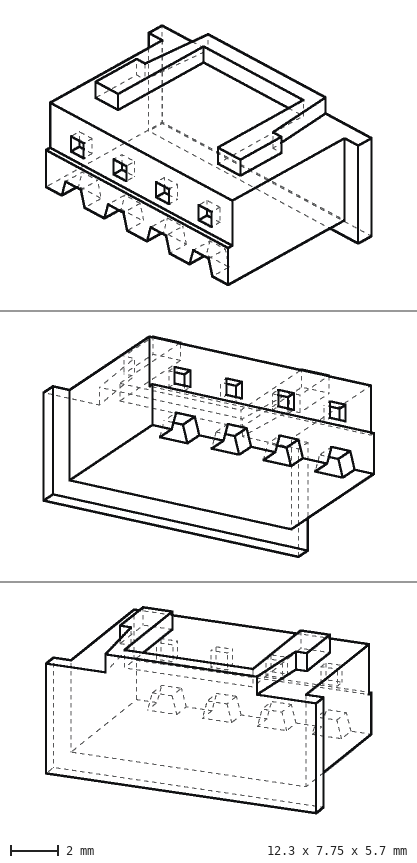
import cadquery as cq

flange_width = 12.3
flange_thickness = 0.8
flange_height = 4.9
total_depth = 7.75

flange_rim = 0.8
body_width = flange_width - 2 * flange_rim
body_bottom = flange_rim
lip_depth = 0.25
lip_top = 2.65

contact_count = 4
pitch = 2.5
first_contact_x = -pitch * (contact_count - 1) / 2

hole_size = 0.75
hole_center_z = 3.4
hole_depth = 0.5

notch_bottom_width = 1.33
notch_top_width = 0.9
notch_height = 0.8
notch_depth = 1.0

frame_height = 0.8
frame_length = 5.9
frame_wall = 0.8
frame_opening_width = 5.85
frame_back_width = 6.9
frame_neck_width = 7.5
frame_pad_width = 8.5
frame_pad_start = 3.45

back_y = total_depth / 2
flange_front_y = back_y - flange_thickness
front_y = back_y - total_depth
upper_front_y = front_y + lip_depth


def make_flange():
    """Plate across the back of the housing."""
    return cq.Workplane("XY").box(
        flange_width, flange_thickness, flange_height, centered=(True, False, False)
    ).translate((0, flange_front_y, 0))


def make_body():
    """Block with a small lip along the lower part of its front face."""
    profile = [
        (back_y, body_bottom),
        (front_y, body_bottom),
        (front_y, lip_top),
        (upper_front_y, lip_top),
        (upper_front_y, flange_height),
        (back_y, flange_height),
    ]
    return cq.Workplane("YZ").polyline(profile).close().extrude(body_width / 2, both=True)


def make_latch_frame():
    """U-shaped frame, open to the front, with a wider pad at each arm end."""
    pad_y = back_y - frame_pad_start
    end_y = back_y - frame_length
    opening_y = back_y - frame_wall
    right_side = [
        (frame_back_width / 2, back_y),
        (frame_neck_width / 2, pad_y),
        (frame_pad_width / 2, pad_y),
        (frame_pad_width / 2, end_y),
        (frame_opening_width / 2, end_y),
        (frame_opening_width / 2, opening_y),
    ]
    left_side = [(-x, y) for x, y in reversed(right_side)]
    return (
        cq.Workplane("XY", origin=(0, 0, flange_height))
        .polyline(right_side + left_side)
        .close()
        .extrude(frame_height)
    )


def make_contact_hole(x):
    """Blind square hole entering the upper front face."""
    return cq.Workplane("XY").box(
        hole_size, hole_depth, hole_size, centered=(True, False, True)
    ).translate((x, upper_front_y, hole_center_z))


def make_notch(x):
    """Blind notch, open at the front and bottom, narrowing upwards."""
    notch_top = body_bottom + notch_height
    profile = [
        (x - notch_bottom_width / 2, body_bottom),
        (x + notch_bottom_width / 2, body_bottom),
        (x + notch_top_width / 2, notch_top),
        (x - notch_top_width / 2, notch_top),
    ]
    return (
        cq.Workplane("XZ", origin=(0, front_y, 0))
        .polyline(profile)
        .close()
        .extrude(-notch_depth)
    )


housing = make_flange().union(make_body()).union(make_latch_frame())
for index in range(contact_count):
    contact_x = first_contact_x + index * pitch
    housing = housing.cut(make_contact_hole(contact_x))
    housing = housing.cut(make_notch(contact_x))

result = housing